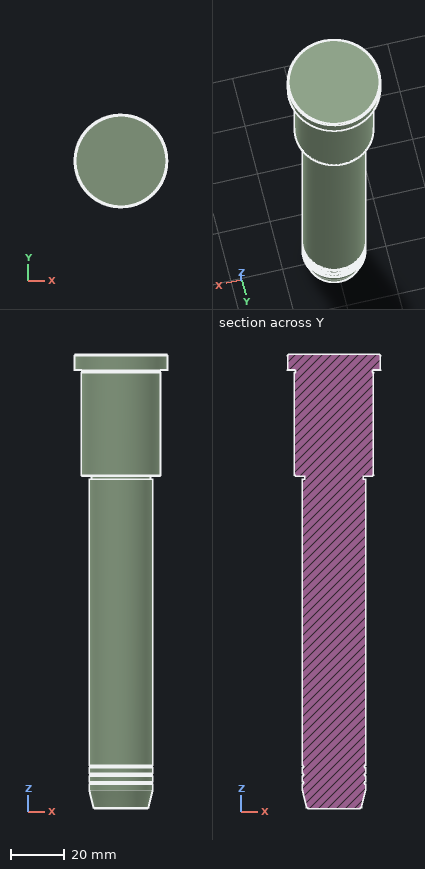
import cadquery as cq

total_length = 171
head_diameter = 35.0
head_height = 6.0
head_edge_chamfer = 0.5
body_diameter = 30.0
body_bottom_z = 125.0
body_edge_chamfer = 0.5
shank_diameter = 24

head_relief_width = 1.0
head_relief_depth = 0.5

body_relief_width = 1.0
body_relief_depth = 0.9

groove_count = 3
groove_width = 1.0
groove_depth = 0.5
groove_pitch = 3.0
lowest_groove_z = 9.7

taper_height = 7.0
tip_diameter = 20.5
tip_edge_chamfer = 0.5


def disc(diameter, bottom_z, top_z):
    """Cylinder on the Z axis between two heights."""
    return cq.Workplane("XY").workplane(offset=bottom_z).circle(diameter / 2).extrude(top_z - bottom_z)


def ring_cutter(surface_diameter, depth, bottom_z, width):
    """Ring that cuts a square groove into a cylinder of the given diameter."""
    return (
        cq.Workplane("XY")
        .workplane(offset=bottom_z)
        .circle(surface_diameter / 2)
        .circle(surface_diameter / 2 - depth)
        .extrude(width)
    )


def v_groove_cutter(surface_diameter, depth, center_z, width):
    """Ring that cuts a V groove, as wide as given at the surface, into a cylinder."""
    surface_radius = surface_diameter / 2
    return (
        cq.Workplane("XZ")
        .moveTo(surface_radius, center_z - width / 2)
        .lineTo(surface_radius - depth, center_z)
        .lineTo(surface_radius, center_z + width / 2)
        .close()
        .revolve(360, (0, 0), (0, 1))
    )


head_bottom_z = total_length - head_height
head = disc(head_diameter, head_bottom_z, total_length).faces(">Z").edges().chamfer(head_edge_chamfer)

body = disc(body_diameter, body_bottom_z, head_bottom_z).faces("<Z").edges().chamfer(body_edge_chamfer)
head_relief_z = head_bottom_z - head_relief_width / 2
body = body.cut(v_groove_cutter(body_diameter, head_relief_depth, head_relief_z, head_relief_width))

shank = disc(shank_diameter, taper_height, body_bottom_z)
shank = shank.cut(
    ring_cutter(shank_diameter, body_relief_depth, body_bottom_z - body_relief_width, body_relief_width)
)
for index in range(groove_count):
    groove_z = lowest_groove_z + index * groove_pitch
    shank = shank.cut(v_groove_cutter(shank_diameter, groove_depth, groove_z, groove_width))

tip = (
    cq.Workplane("XY")
    .circle(tip_diameter / 2)
    .workplane(offset=taper_height)
    .circle(shank_diameter / 2)
    .loft(ruled=True)
    .faces("<Z")
    .edges()
    .chamfer(tip_edge_chamfer)
)

result = head.union(body).union(shank).union(tip)